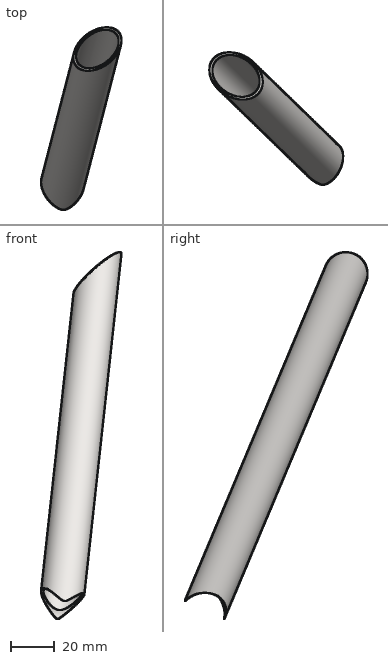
import cadquery as cq

outer_radius = 10.05
wall = 1.2
inner_radius = outer_radius - wall

upper_joint = cq.Vector(16.9, 65.2, 155.0)
tube_length = upper_joint.Length
tube_direction = upper_joint.normalized()

crossing_direction = cq.Vector(1.0, 0.12, -0.12).normalized()
crossing_radius = 10.1
crossing_center = cq.Vector(0.0, -0.3, -0.7)
lip_drop = 0.5

mitre_normal = tube_direction - cq.Vector(1, 0, 0)

end_allowance = 4 * outer_radius
cutter_size = 12 * outer_radius


def rod(start, direction, radius, length):
    """Solid cylinder along a direction from its start point."""
    return cq.Workplane(cq.Solid.makeCylinder(radius, length, start, direction))


def untrimmed_tube():
    start = tube_direction * -end_allowance
    length = tube_length + 2 * end_allowance
    outer = rod(start, tube_direction, outer_radius, length)
    bore = rod(start, tube_direction, inner_radius, length)
    return outer.cut(bore)


def saddle_cutter():
    """Crossing tube and the space below its lips."""
    start = crossing_center - crossing_direction * (cutter_size / 2)
    crossing_tube = rod(start, crossing_direction, crossing_radius, cutter_size)
    side_direction = crossing_direction.cross(tube_direction)
    down_direction = crossing_direction.cross(side_direction)
    base_plane = cq.Plane(crossing_center + down_direction * lip_drop, crossing_direction, down_direction)
    space_below = cq.Workplane(base_plane).rect(cutter_size, cutter_size).extrude(cutter_size)
    return crossing_tube.union(space_below)


def mitre_cutter():
    mitre_plane = cq.Plane(upper_joint, cq.Vector(0, 1, 0).cross(mitre_normal), mitre_normal)
    return cq.Workplane(mitre_plane).rect(cutter_size, cutter_size).extrude(cutter_size)


result = untrimmed_tube().cut(saddle_cutter()).cut(mitre_cutter())